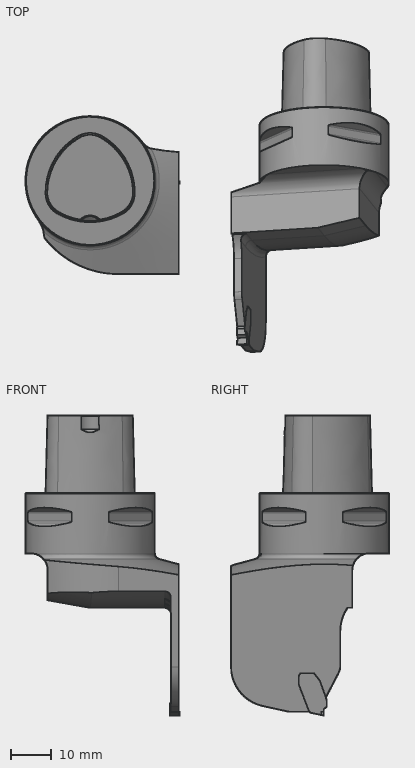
import cadquery as cq
import math


shank_length = 19.0
shank_width = 22.05
lobe_offset = 5.9
shank_taper = 1 / 40

notch_radius = 3.0
notch_axis_y = -11.8
notch_depth = 3.4
notch_point_angle = 35.0
notch_chamfer = 0.2

flange_radius = 32.0 / 2
flange_height = 15.0
flange_chamfer = 0.2
groove_count = 4
groove_z = -6.0
groove_floor_distance = 14.05
groove_floor_height = 2.5
groove_mouth_height = 4.65
groove_fillet = 0.45

block_left = -10.5
block_right = 21.9
block_front = -23.0
block_back = 6.95
block_corner_radius = -block_front
block_corner_x = 6.95
neck_radius = 4.0
shoulder_angle = 15.0
shoulder_edge_z = -16.05
shoulder_fillet = 1.3
block_bottom_z = -28.4
bottom_radius = 66.6
bottom_tilt = 10.1

blade_thickness = 2.0
blade_back = 4.0
blade_end_z = -54.0
blade_root_z = -34.05
blade_root_radius = 10.0
blade_root_top = block_bottom_z + 0.4
blade_overlap = 5.2
blade_fillet = 1.55
blade_end_flat_y = -8.8
blade_end_slope = 12.4
blade_nose_radius = 10.0
blade_back_slope = 27.4
blade_back_bend_z = -43.6
blade_back_bend_radius = 4.0

tip_z = -55.0
chip_face_height = 0.3
tip_overhang = 0.15

blade_left = block_right - blade_thickness
margin = 7.4
cutter_reach = 59.2
edge_tolerance = 0.15


def circle_point(center, radius, degrees):
    angle = math.radians(degrees)
    return (center[0] + radius * math.cos(angle), center[1] + radius * math.sin(angle))


def shank_outline(height):
    """Rounded triangle of alternating lobe and flank arcs, pointing to +Y."""
    inset = shank_taper * height
    lobe_radius = (shank_width - math.sqrt(3) * lobe_offset) / 2 - inset
    flank_radius = shank_width - 2 * inset - lobe_radius
    outline = cq.Workplane("XY").workplane(offset=height)
    start = circle_point(circle_point((0, 0), lobe_offset, 90), lobe_radius, 60)
    outline = outline.moveTo(*start)
    for lobe_angle in (90, 210, 330):
        lobe = circle_point((0, 0), lobe_offset, lobe_angle)
        outline = outline.threePointArc(
            circle_point(lobe, lobe_radius, lobe_angle),
            circle_point(lobe, lobe_radius, lobe_angle + 30),
        )
        flank_angle = lobe_angle + 60
        flank = circle_point((0, 0), lobe_offset, flank_angle + 180)
        outline = outline.threePointArc(
            circle_point(flank, flank_radius, flank_angle),
            circle_point(flank, flank_radius, flank_angle + 30),
        )
    return outline.close().wire().val()


def make_shank():
    return cq.Workplane(cq.Solid.makeLoft([shank_outline(0), shank_outline(shank_length)], True))


def make_notch():
    """Pointed drill with a countersink at the shank tip."""
    floor_z = shank_length - notch_depth
    point_z = floor_z - notch_radius * math.tan(math.radians(notch_point_angle))
    return (
        cq.Workplane("XZ")
        .moveTo(0, point_z)
        .lineTo(notch_radius, floor_z)
        .lineTo(notch_radius, shank_length - notch_chamfer)
        .lineTo(notch_radius + notch_chamfer, shank_length)
        .lineTo(0, shank_length)
        .close()
        .revolve(360, (0, 0), (0, 1))
        .translate((0, notch_axis_y, 0))
    )


def make_groove():
    """Trapezoidal groove with its floor facing +X."""
    flare = (groove_mouth_height - groove_floor_height) / 2
    flare_slope = flare / (flange_radius - groove_floor_distance)
    outer_x = flange_radius + margin
    outer_half = groove_floor_height / 2 + flare_slope * (outer_x - groove_floor_distance)
    return (
        cq.Workplane("XZ")
        .moveTo(groove_floor_distance, groove_z - groove_floor_height / 2)
        .lineTo(outer_x, groove_z - outer_half)
        .lineTo(outer_x, groove_z + outer_half)
        .lineTo(groove_floor_distance, groove_z + groove_floor_height / 2)
        .close()
        .extrude(flange_radius, both=True)
        .edges("<X")
        .fillet(groove_fillet)
    )


def make_flange():
    flange = cq.Workplane("XY").circle(flange_radius).extrude(-flange_height)
    flange = flange.faces(">Z").edges().chamfer(flange_chamfer)
    for index in range(groove_count):
        angle = 45 + index * 360 / groove_count
        flange = flange.cut(make_groove().rotate((0, 0, 0), (0, 0, 1), angle))
    return flange


def make_block_plan():
    """Plan outline of the block, from the flange underside past its bottom."""
    left = block_corner_x - block_corner_radius
    diagonal = circle_point((block_corner_x, 0), block_corner_radius, 225)
    return (
        cq.Workplane("XY")
        .workplane(offset=-flange_height)
        .moveTo(block_right, block_front)
        .lineTo(block_right, flange_radius)
        .lineTo(left, flange_radius)
        .lineTo(left, 0)
        .threePointArc(diagonal, (block_corner_x, block_front))
        .close()
        .extrude(block_bottom_z - margin + flange_height)
    )


def make_shoulder():
    """Flange wall blended by a fillet into the conical top of the block."""
    slope = math.radians(shoulder_angle)
    reach = shoulder_fillet * math.tan((math.pi / 2 - slope) / 2)
    center = (flange_radius + shoulder_fillet, shoulder_edge_z + reach)
    cone_start = (
        flange_radius + reach * math.cos(slope),
        shoulder_edge_z - reach * math.sin(slope),
    )
    arc_middle = circle_point(center, shoulder_fillet, 180 + (90 - shoulder_angle) / 2)
    outer_radius = cutter_reach
    cone_end_z = shoulder_edge_z - (outer_radius - flange_radius) * math.tan(slope)
    floor_z = block_bottom_z - margin
    return (
        cq.Workplane("XZ")
        .moveTo(0, 0)
        .lineTo(flange_radius, 0)
        .lineTo(flange_radius, center[1])
        .threePointArc(arc_middle, cone_start)
        .lineTo(outer_radius, cone_end_z)
        .lineTo(outer_radius, floor_z)
        .lineTo(0, floor_z)
        .close()
        .revolve(360, (0, 0), (0, 1))
    )


def make_neck_cutter(plane, wall, outward):
    """Space outside a block wall, rounded where the wall meets the flange.

    The profile lies in the given vertical plane; outward is the sign of the
    direction that points away from the block.
    """
    center = (wall + outward * neck_radius, -flange_height - neck_radius)
    arc_middle = circle_point(center, neck_radius, 90 + outward * 45)
    outer = outward * cutter_reach
    floor_z = block_bottom_z - 2 * margin
    return (
        cq.Workplane(plane)
        .moveTo(wall, floor_z)
        .lineTo(wall, center[1])
        .threePointArc(arc_middle, (center[0], -flange_height))
        .lineTo(outer, -flange_height)
        .lineTo(outer, floor_z)
        .close()
        .extrude(cutter_reach, both=True)
    )


def make_bottom_limit():
    """Space above the block bottom: flat at the back, curving up to the front."""
    front_y = block_front - margin
    front_angle = math.degrees(math.asin(front_y / bottom_radius))
    center = (0, block_bottom_z + bottom_radius)
    return (
        cq.Workplane("YZ")
        .moveTo(cutter_reach, block_bottom_z)
        .lineTo(0, block_bottom_z)
        .threePointArc(
            circle_point(center, bottom_radius, 270 + front_angle / 2),
            circle_point(center, bottom_radius, 270 + front_angle),
        )
        .lineTo(front_y, 0)
        .lineTo(cutter_reach, 0)
        .close()
        .extrude(cutter_reach, both=True)
    )


def make_block():
    block = make_block_plan().intersect(make_shoulder())
    block = block.cut(make_neck_cutter("XZ", block_left, -1))
    block = block.cut(make_neck_cutter("YZ", block_back, 1))
    level_limit = make_bottom_limit()
    tilted_limit = level_limit.rotate(
        (0, 0, block_bottom_z), (0, 1, block_bottom_z), bottom_tilt
    )
    return block.intersect(level_limit).intersect(tilted_limit)


def make_blade():
    """Flat plate with a flared root, a leaning tip edge and a rounded nose."""
    root_center = (blade_back + blade_root_radius, blade_root_z)
    root_angle = math.degrees(math.asin((blade_root_top - blade_root_z) / blade_root_radius))
    root_end = circle_point(root_center, blade_root_radius, 180 - root_angle)
    root_middle = circle_point(root_center, blade_root_radius, 180 - root_angle / 2)

    lean = math.radians(blade_back_slope)
    bend_reach = blade_back_bend_radius * math.tan(lean / 2)
    bend_center = (blade_back - blade_back_bend_radius, blade_back_bend_z + bend_reach)
    bend_middle = circle_point(bend_center, blade_back_bend_radius, -blade_back_slope / 2)
    bend_end = circle_point(bend_center, blade_back_bend_radius, -blade_back_slope)
    tip_y = bend_end[0] - (bend_end[1] - blade_end_z) * math.tan(lean)

    rise = math.tan(math.radians(blade_end_slope))
    corner_z = blade_end_z + (blade_end_flat_y - block_front) * rise
    nose_turn = 90 - blade_end_slope
    nose_reach = blade_nose_radius * math.tan(math.radians(nose_turn / 2))
    nose_center = (block_front + blade_nose_radius, corner_z + nose_reach)
    nose_start = circle_point(nose_center, blade_nose_radius, 180 + nose_turn)
    nose_middle = circle_point(nose_center, blade_nose_radius, 180 + nose_turn / 2)

    top_z = block_bottom_z + blade_overlap
    return (
        cq.Workplane("YZ")
        .workplane(offset=blade_left)
        .moveTo(block_front, top_z)
        .lineTo(root_end[0], top_z)
        .lineTo(*root_end)
        .threePointArc(root_middle, (blade_back, blade_root_z))
        .lineTo(blade_back, bend_center[1])
        .threePointArc(bend_middle, bend_end)
        .lineTo(tip_y, blade_end_z)
        .lineTo(blade_end_flat_y, blade_end_z)
        .lineTo(*nose_start)
        .threePointArc(nose_middle, (block_front, nose_center[1]))
        .close()
        .extrude(blade_thickness)
    )


def yz_prism(points, x_start, x_end):
    """Prism between two X positions from a polygon of (Y, Z) points."""
    profile = cq.Workplane("YZ").workplane(offset=x_start).polyline(points).close()
    return profile.extrude(x_end - x_start)


def make_insert():
    """Leaning bar as thick as the blade, with a raised head and an overhanging tip."""
    tip = (-0.1, tip_z)
    tip_side = (-0.1, -53.35)
    head_shoulder = (0.7, -52.75)
    head_top = (0.7, -51.95)
    end_corner = (-3.25, -54.3)
    outline = [
        tip,
        tip_side,
        head_shoulder,
        (0.7, -51.2),
        (0.45, -50.6),
        (-1.1, -46.3),
        (-2.5, -44.55),
        (-5.9, -44.55),
        (-6.3, -45.3),
        (-6.3, -47.3),
        (-3.7, blade_end_z),
        end_corner,
    ]
    chip_face = [tip, tip_side, head_shoulder, head_top, (-1.1, -52.0), end_corner]
    tip_land = [tip, (-0.1, -54.0), (-0.75, -54.0), (-0.75, -54.75)]
    bar = yz_prism(outline, blade_left, block_right)
    head = yz_prism(chip_face, blade_left - chip_face_height, block_right)
    land = yz_prism(tip_land, blade_left, block_right + tip_overhang)
    return bar.union(head).union(land)


def make_holder(insert):
    """Shank, flange, block and blade as one solid with a seat for the insert."""
    arm = make_block().union(make_blade())
    root_edges = cq.selectors.BoxSelector(
        (blade_left - edge_tolerance, block_front - edge_tolerance, block_bottom_z - edge_tolerance),
        (blade_left + edge_tolerance, block_back, block_bottom_z + blade_overlap),
        boundingbox=True,
    )
    arm = arm.edges(root_edges).fillet(blade_fillet)
    holder = make_flange().union(make_shank().cut(make_notch())).union(arm)
    return holder.cut(insert)


insert = make_insert()
holder = make_holder(insert)
result = cq.Compound.makeCompound([holder.val(), insert.val()])